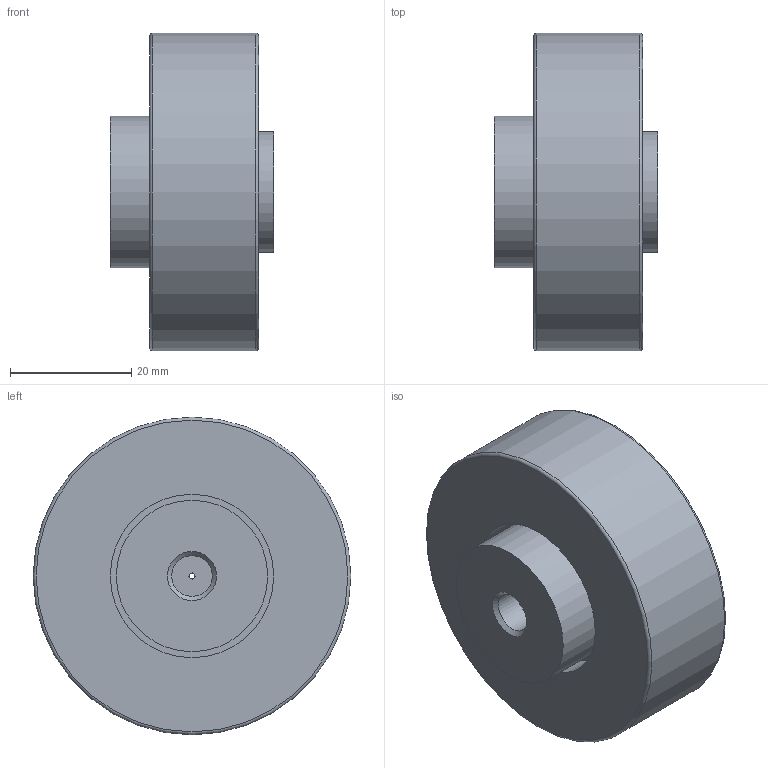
import cadquery as cq

wheel_diameter = 52.5
wheel_width = 18.0
rim_fillet = 0.5

boss_diameter = 25.0
boss_height = 6.5
groove_diameter = 27.0
groove_depth = 5.0

spigot_diameter = 20.0
spigot_height = 2.5

bore_diameter = 6.7
bore_depth = 15.0
bore_mouth_diameter = 8.1
vent_diameter = 1.0

boss_end = -boss_height
spigot_end = wheel_width + spigot_height
total_length = spigot_end - boss_end


def cylinder_along_x(start, length, diameter):
    """Solid cylinder on the X axis, running toward +X from start."""
    return cq.Workplane("YZ", origin=(start, 0, 0)).circle(diameter / 2).extrude(length)


def make_wheel():
    """Disc with both rims rounded and a groove around the boss position."""
    disc = cylinder_along_x(0, wheel_width, wheel_diameter).edges("%CIRCLE").fillet(rim_fillet)
    groove = cylinder_along_x(0, groove_depth, groove_diameter)
    return disc.cut(groove)


def make_bore():
    """Blind bore with a 45 degree countersunk mouth and a through vent hole."""
    bore = cylinder_along_x(boss_end, bore_depth, bore_diameter)
    countersink_depth = (bore_mouth_diameter - bore_diameter) / 2
    countersink = cq.Workplane("XY").add(
        cq.Solid.makeCone(
            bore_mouth_diameter / 2,
            bore_diameter / 2,
            countersink_depth,
            cq.Vector(boss_end, 0, 0),
            cq.Vector(1, 0, 0),
        )
    )
    vent = cylinder_along_x(boss_end, total_length, vent_diameter)
    return bore.union(countersink).union(vent)


boss = cylinder_along_x(boss_end, boss_height + groove_depth, boss_diameter)
spigot = cylinder_along_x(wheel_width, spigot_height, spigot_diameter)

result = make_wheel().union(boss).union(spigot).cut(make_bore())